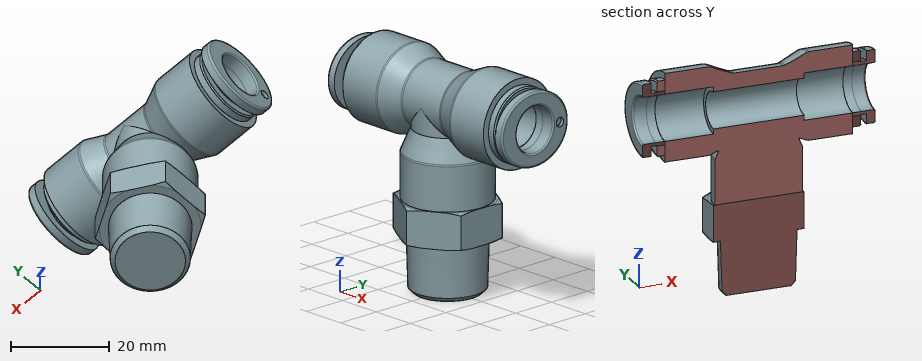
import cadquery as cq
import math

overall_length = 51.4
arm_length = 20.7
arm_diameter = 19.4
waist_diameter = 15.0
waist_half_length = 5.65
cone_end = 10.8
cone_blend_radius = 1.0

flow_diameter = 8.0
tube_diameter = 10.2
tube_stop_distance = 10.0

collar_diameter = 16.5
collar_length = 1.8
collar_chamfer = 0.3

sleeve_end = overall_length / 2
sleeve_diameter = 11.7
sleeve_bore_diameter = 10.15
sleeve_mouth_diameter = 10.2
sleeve_mouth_depth = 3.05
sleeve_lead_in = 0.35
flange_width = 18.5
flange_height = 16.0
flange_thickness = 2.0
flange_edge_radius = 0.4
mark_diameter = 2.0
mark_depth = 0.8
mark_offset = 7.0

hex_across_flats = 20.0
hex_height = 8.0
hex_bottom = -arm_length - hex_height
hex_chamfer_diameter = 20.7
hex_chamfer_angle = 15.0
thread_length = 12.0
thread_tip_diameter = 16.3
thread_chamfer = 1.0
thread_taper = 1 / 16


def cylinder_along_x(diameter, x_start, x_end):
    """Solid cylinder on the X axis between two X positions."""
    return cq.Workplane("YZ", origin=(x_start, 0, 0)).circle(diameter / 2).extrude(x_end - x_start)


def make_run():
    """Waisted run on the X axis, with the cone ends blended."""
    waist = waist_diameter / 2
    arm = arm_diameter / 2
    run = (
        cq.Workplane("XY")
        .moveTo(-arm_length, 0)
        .lineTo(-arm_length, arm)
        .lineTo(-cone_end, arm)
        .lineTo(-waist_half_length, waist)
        .lineTo(waist_half_length, waist)
        .lineTo(cone_end, arm)
        .lineTo(arm_length, arm)
        .lineTo(arm_length, 0)
        .close()
        .revolve(360, (0, 0, 0), (1, 0, 0))
    )
    cone_edges = run.edges("%CIRCLE").edges("not(<X or >X)")
    return cone_edges.fillet(cone_blend_radius)


def make_branch():
    """Downward branch with the same cone as the run, blended at the wide end only."""
    branch = (
        cq.Workplane("XZ")
        .lineTo(waist_diameter / 2, 0)
        .lineTo(waist_diameter / 2, -waist_half_length)
        .lineTo(arm_diameter / 2, -cone_end)
        .lineTo(arm_diameter / 2, -arm_length)
        .lineTo(0, -arm_length)
        .close()
        .revolve(360, (0, 0, 0), (0, 1, 0))
    )
    wide_end = cq.selectors.NearestToPointSelector((0, 0, -cone_end))
    return branch.edges("%CIRCLE").edges(wide_end).fillet(cone_blend_radius)


def make_tee():
    """Tee body: run and branch joined, with a straight flow bore and a tube socket at each end."""
    tee = make_run().union(make_branch())
    tee = tee.cut(cylinder_along_x(flow_diameter, -arm_length, arm_length))
    for side in (-1, 1):
        tee = tee.cut(cylinder_along_x(tube_diameter, side * tube_stop_distance, side * arm_length))
    return tee


def make_collar():
    """Ring against the +X end of the run, with a hole for the release sleeve."""
    collar = cylinder_along_x(collar_diameter, arm_length, arm_length + collar_length)
    collar = collar.faces(">X").chamfer(collar_chamfer)
    return collar.cut(cylinder_along_x(sleeve_diameter, arm_length, sleeve_end))


def make_sleeve():
    """Release sleeve at the +X end: oval flange, tube neck, tapered mouth and a round mark."""
    flange_start = sleeve_end - flange_thickness
    flange = (
        cq.Workplane("YZ", origin=(flange_start, 0, 0))
        .ellipse(flange_width / 2, flange_height / 2)
        .extrude(flange_thickness)
        .faces(">X")
        .edges()
        .fillet(flange_edge_radius)
    )
    sleeve = flange.union(cylinder_along_x(sleeve_diameter, arm_length, flange_start))
    bore = (
        cq.Workplane("XY")
        .moveTo(arm_length, 0)
        .lineTo(arm_length, sleeve_bore_diameter / 2)
        .lineTo(sleeve_end - sleeve_mouth_depth, sleeve_bore_diameter / 2)
        .lineTo(sleeve_end, sleeve_mouth_diameter / 2)
        .lineTo(sleeve_end, 0)
        .close()
        .revolve(360, (0, 0, 0), (1, 0, 0))
    )
    sleeve = sleeve.cut(bore)
    sleeve = sleeve.faces(">X").edges("%CIRCLE").fillet(sleeve_lead_in)
    mark = cylinder_along_x(mark_diameter, sleeve_end - mark_depth, sleeve_end)
    return sleeve.cut(mark.translate((0, mark_offset, 0)))


def make_hexagon():
    """Hexagon with its corners on the Y axis, chamfered at both ends."""
    corner = hex_across_flats / math.cos(math.radians(30))
    hexagon = (
        cq.Workplane("XY", origin=(0, 0, hex_bottom))
        .transformed(rotate=(0, 0, 90))
        .polygon(6, corner)
        .extrude(hex_height)
    )
    drop = (corner - hex_chamfer_diameter) / 2 * math.tan(math.radians(hex_chamfer_angle))
    envelope = (
        cq.Workplane("XZ")
        .moveTo(0, -arm_length)
        .lineTo(hex_chamfer_diameter / 2, -arm_length)
        .lineTo(corner / 2, -arm_length - drop)
        .lineTo(corner / 2, hex_bottom + drop)
        .lineTo(hex_chamfer_diameter / 2, hex_bottom)
        .lineTo(0, hex_bottom)
        .close()
        .revolve(360, (0, 0, 0), (0, 1, 0))
    )
    return hexagon.intersect(envelope)


def make_thread():
    """Tapered thread blank below the hexagon, chamfered at the tip."""
    tip = hex_bottom - thread_length
    tip_radius = thread_tip_diameter / 2
    root_radius = tip_radius + (thread_length - thread_chamfer) * thread_taper / 2
    return (
        cq.Workplane("XZ")
        .moveTo(0, hex_bottom)
        .lineTo(root_radius, hex_bottom)
        .lineTo(tip_radius, tip + thread_chamfer)
        .lineTo(tip_radius - thread_chamfer, tip)
        .lineTo(0, tip)
        .close()
        .revolve(360, (0, 0, 0), (0, 1, 0))
    )


def make_nipple():
    """Hexagon and thread blank as one solid."""
    return make_hexagon().union(make_thread())


tee = make_tee()
nipple = make_nipple()
bodies = [tee.val(), nipple.val()]
for body in (make_collar(), make_sleeve()):
    for angle in (0, 180):
        bodies.append(body.rotate((0, 0, 0), (0, 0, 1), angle).val())

result = cq.Compound.makeCompound(bodies)